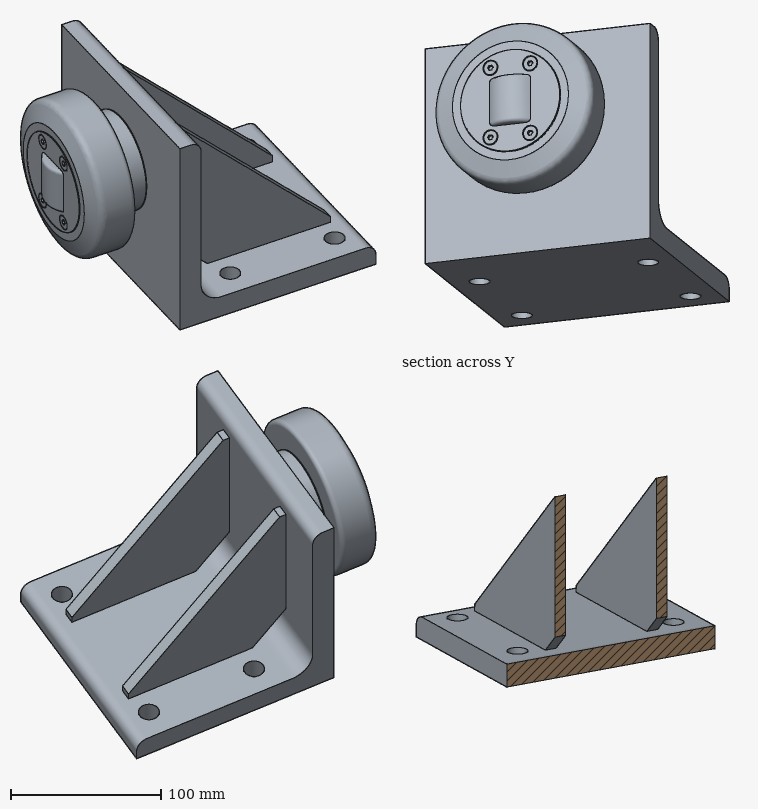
import cadquery as cq

width = 160.0
leg = 150.0
thickness = 16.2
toe_radius = 8.0
root_radius = 15.5

hole_diameter = 14.0
hole_half_spacing_x = 60.0
hole_rows_y = (49.8, 129.8)

gusset_end = 136.0
gusset_edge = 4.8
gusset_relief = 25.5
gusset_thickness = 8.3
gusset_offset_x = 39.0

axis_height = 89.9
hub_diameter = 71.0
hub_neck_diameter = 70.5
hub_neck_length = 0.6
roller_radius = 56.0
roller_back = 19.5
roller_front = 51.3
roller_back_round = 3.3
roller_front_round = 5.2
roller_face_radius = 41.3
roller_cone_depth = 5.6
cap_diameter = 70.5
cap_front = 52.0
bore_diameter = 71.0
bore_gap_depth = 1.0

axial_reach = 57.5
axial_radius = 21.5
axial_length = 33.6
axial_round = 2.5

screw_offset_x = 14.1
screw_offset_z = 24.3
screw_head_diameter = 9.8
screw_seat_diameter = 10.4
screw_gap_depth = 1.0
socket_size = 3.7
socket_depth = 2.0


def axial_cylinder(diameter, start, end, x=0, z=0):
    """Cylinder parallel to the main roller axis, from depth start to end in front of the bracket."""
    face = cq.Workplane("XZ", origin=(x, -start, axis_height + z))
    return face.circle(diameter / 2).extrude(end - start)


def make_bracket():
    profile = [(0, 0), (leg, 0), (leg, thickness), (thickness, thickness), (thickness, leg), (0, leg)]
    body = cq.Workplane("YZ").polyline(profile).close().extrude(width / 2, both=True)
    body = body.edges(cq.selectors.NearestToPointSelector((0, thickness, thickness))).fillet(root_radius)
    for toe in ((0, leg, thickness), (0, thickness, leg)):
        body = body.edges(cq.selectors.NearestToPointSelector(toe)).fillet(toe_radius)
    centers = [(side * hole_half_spacing_x, y) for side in (-1, 1) for y in hole_rows_y]
    holes = cq.Workplane("XY").pushPoints(centers).circle(hole_diameter / 2).extrude(thickness)
    return body.cut(holes)


def make_gusset(x):
    profile = [
        (thickness + gusset_relief, thickness),
        (gusset_end, thickness),
        (gusset_end, thickness + gusset_edge),
        (thickness + gusset_edge, gusset_end),
        (thickness, gusset_end),
        (thickness, thickness + gusset_relief),
    ]
    plate = cq.Workplane("YZ", origin=(x, 0, 0)).polyline(profile).close()
    return plate.extrude(gusset_thickness / 2, both=True)


def make_roller():
    shoulder = roller_front - roller_cone_depth
    profile = [
        (0, -roller_back),
        (roller_radius, -roller_back),
        (roller_radius, -shoulder),
        (roller_face_radius, -roller_front),
        (0, -roller_front),
    ]
    axis_plane = cq.Workplane("XY", origin=(0, 0, axis_height))
    roller = axis_plane.polyline(profile).close().revolve(360, (0, 0), (0, 1))
    rim = roller_radius + axis_height
    roller = roller.edges(cq.selectors.NearestToPointSelector((0, -roller_back, rim))).fillet(roller_back_round)
    return roller.edges(cq.selectors.NearestToPointSelector((0, -shoulder, rim))).fillet(roller_front_round)


def make_axial_roller():
    base = axis_height - axial_length / 2
    center_y = axial_radius - axial_reach
    roller = cq.Workplane("XY", origin=(0, center_y, base)).circle(axial_radius).extrude(axial_length)
    roller = roller.edges("%CIRCLE").fillet(axial_round)
    keep = axial_cylinder(cap_diameter, roller_back, axial_reach)
    return roller.intersect(keep)


def make_screw_recess(x, z):
    gap_floor = cap_front - screw_gap_depth
    gap = axial_cylinder(screw_seat_diameter, gap_floor, cap_front, x, z)
    gap = gap.cut(axial_cylinder(screw_head_diameter, gap_floor, cap_front, x, z))
    face = cq.Workplane("XZ", origin=(x, -cap_front, axis_height + z))
    socket = face.polygon(6, socket_size).extrude(-socket_depth)
    return gap.union(socket)


result = make_bracket()
for side in (-1, 1):
    result = result.union(make_gusset(side * gusset_offset_x))

result = result.union(axial_cylinder(hub_neck_diameter, 0, roller_back))
result = result.union(axial_cylinder(hub_diameter, hub_neck_length, roller_back - hub_neck_length))
result = result.union(make_roller())

result = result.cut(axial_cylinder(bore_diameter, roller_front - bore_gap_depth, roller_front))
result = result.union(axial_cylinder(cap_diameter, roller_back, cap_front))

for x in (-screw_offset_x, screw_offset_x):
    for z in (-screw_offset_z, screw_offset_z):
        result = result.cut(make_screw_recess(x, z))

result = result.union(make_axial_roller())